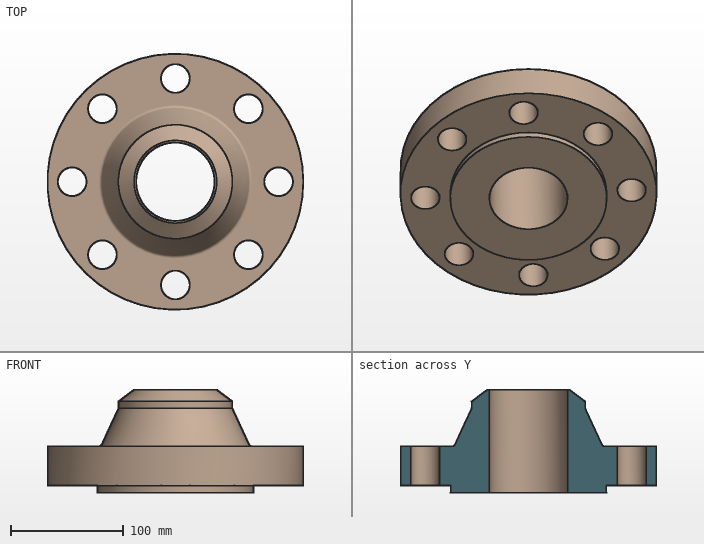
import cadquery as cq

flange_diameter = 228.5
flange_thickness = 35.2
raised_face_diameter = 139.6
raised_face_height = 6.5
bore_diameter = 69.7

overall_height = 92.0
hub_base_diameter = 133.0
neck_diameter = 101.7
neck_height = 6.2
bevel_height = 10.5
weld_land_width = 2.0
hub_fillet_radius = 3.0

bolt_hole_count = 8
bolt_hole_diameter = 25.4
bolt_circle_diameter = 184.2

flange_top = raised_face_height + flange_thickness
bevel_bottom = overall_height - bevel_height
neck_bottom = bevel_bottom - neck_height
weld_land_diameter = bore_diameter + 2 * weld_land_width


def disc(diameter, bottom, top):
    """Solid cylinder on the Z axis between two heights."""
    return cq.Workplane("XY").workplane(offset=bottom).circle(diameter / 2).extrude(top - bottom)


def make_plate():
    """Flange disc with the raised face below it."""
    raised_face = disc(raised_face_diameter, 0, raised_face_height)
    return raised_face.union(disc(flange_diameter, raised_face_height, flange_top))


def make_hub():
    """Tapered hub, short straight neck and welding bevel, revolved from a half section."""
    half_section = [
        (0, flange_top),
        (hub_base_diameter / 2, flange_top),
        (neck_diameter / 2, neck_bottom),
        (neck_diameter / 2, bevel_bottom),
        (weld_land_diameter / 2, overall_height),
        (0, overall_height),
    ]
    return cq.Workplane("XZ").polyline(half_section).close().revolve(360, (0, 0), (0, 1))


def fillet_hub_root(body):
    """Round the corner where the hub meets the top of the flange."""
    margin = 0.2
    reach = hub_base_diameter / 2 + margin
    root_box = cq.selectors.BoxSelector(
        (-reach, -reach, flange_top - margin),
        (reach, reach, flange_top + margin),
        boundingbox=True,
    )
    return body.edges(root_box).fillet(hub_fillet_radius)


def make_bolt_holes():
    """Cutters for the bolt holes, the first one on the X axis."""
    return (
        cq.Workplane("XY")
        .polarArray(bolt_circle_diameter / 2, 0, 360, bolt_hole_count)
        .circle(bolt_hole_diameter / 2)
        .extrude(overall_height)
    )


result = fillet_hub_root(make_plate().union(make_hub()))
result = result.cut(disc(bore_diameter, 0, overall_height))
result = result.cut(make_bolt_holes())